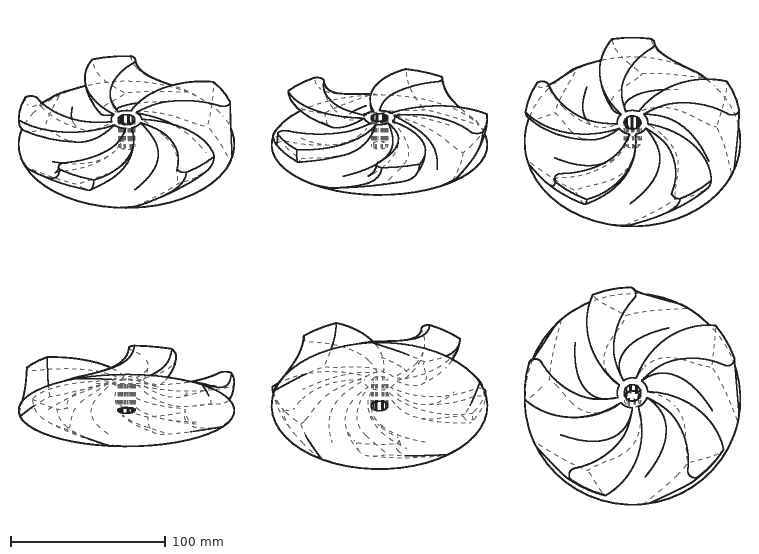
import cadquery as cq
import math

OUTER_RADIUS = 70.0
HEIGHT = 20.0
HUB_RADIUS = 9.9

FLOOR_MID_RADIUS = 38.5
FLOOR_MID_HEIGHT = 5.2

BLADE_COUNT = 5
BLADE_RIM_RADIUS = 69.95
TRAILING_EDGE = [(-2.8, 6.5), (-5.4, 24.5), (-2.5, 41.2), (4.8, 54.8)]
LEADING_EDGE = [(-0.2, 6.5), (2.2, 18.3), (5.8, 27.1), (14.2, 37.1), (23.6, 43.6), (30.9, 46.8), (38.3, 48.7)]
RIM_START_ANGLE = 74.0
RIM_END_ANGLE = 53.4
TIP_CORNER_MID = (42.2, 51.4)
TIP_ANGLE = 14.0
TIP_GROWTH = 0.22
TRAILING_LAG = 0.25
RIM_BULGE = 0.16

LEAN_ANGLE = -62.0
LEAN_STEPS = [(20.0, 0.0), (16.0, 0.9), (12.0, 3.2), (8.0, 8.0), (5.0, 14.9), (2.5, 24.3), (0.0, 39.6)]

SPLINE_COUNT = 8
BORE_RADIUS = 4.3
SPLINE_REACH = 5.3
SPLINE_WIDTH = 3.3


def make_body():
    """Hub and disc in one revolved profile."""
    return (
        cq.Workplane("XZ")
        .lineTo(OUTER_RADIUS, 0)
        .threePointArc((FLOOR_MID_RADIUS, FLOOR_MID_HEIGHT), (HUB_RADIUS, HEIGHT))
        .lineTo(0, HEIGHT)
        .close()
        .revolve(360, (0, 0), (0, 1))
    )


def moved(point, distance, angle):
    """Point moved by a distance in the direction of an angle in degrees."""
    turn = math.radians(angle)
    return (point[0] + distance * math.cos(turn), point[1] + distance * math.sin(turn))


def rim_point(angle):
    """Point on the blade's rim arc at an angle in degrees."""
    return moved((0, 0), BLADE_RIM_RADIUS, angle)


def make_blade_section(height, shift):
    """Level outline of the blade, slid by the lean shift and with its tip drawn out in proportion."""
    reach = TIP_GROWTH * shift
    tip_start = moved(rim_point(RIM_END_ANGLE), reach, TIP_ANGLE)
    tip_mid = moved(TIP_CORNER_MID, reach, TIP_ANGLE)
    tip_end = moved(LEADING_EDGE[-1], reach, TIP_ANGLE)
    trailing_end = moved(rim_point(RIM_START_ANGLE), -TRAILING_LAG * shift, LEAN_ANGLE)
    mid_angle = (RIM_START_ANGLE + RIM_END_ANGLE) / 2
    rim_mid = moved(rim_point(mid_angle), RIM_BULGE * shift, mid_angle)
    center = moved((0, 0), shift, LEAN_ANGLE)
    return (
        cq.Workplane("XY", origin=(*center, height))
        .moveTo(*TRAILING_EDGE[0])
        .spline(TRAILING_EDGE[1:] + [trailing_end], includeCurrent=True)
        .threePointArc(rim_mid, tip_start)
        .threePointArc(tip_mid, tip_end)
        .spline(LEADING_EDGE[-2::-1], includeCurrent=True)
        .close()
        .wire()
        .val()
    )


def make_blade():
    """Blade lofted through its level sections and trimmed to the rim cylinder."""
    sections = [make_blade_section(height, shift) for height, shift in LEAN_STEPS]
    blade = cq.Workplane(cq.Solid.makeLoft(sections))
    return blade.intersect(cq.Workplane("XY").circle(OUTER_RADIUS).extrude(2 * HEIGHT))


def cut_bore(part):
    """Through bore with straight-sided, flat-bottomed spline grooves."""
    part = part.cut(cq.Workplane("XY").circle(BORE_RADIUS).extrude(HEIGHT))
    for index in range(SPLINE_COUNT // 2):
        groove = cq.Workplane("XY").rect(2 * SPLINE_REACH, SPLINE_WIDTH).extrude(HEIGHT)
        part = part.cut(groove.rotate((0, 0, 0), (0, 0, 1), index * 360 / SPLINE_COUNT))
    return part


blade = make_blade()
impeller = make_body()
for index in range(BLADE_COUNT):
    impeller = impeller.union(blade.rotate((0, 0, 0), (0, 0, 1), index * 360 / BLADE_COUNT))
result = cut_bore(impeller)